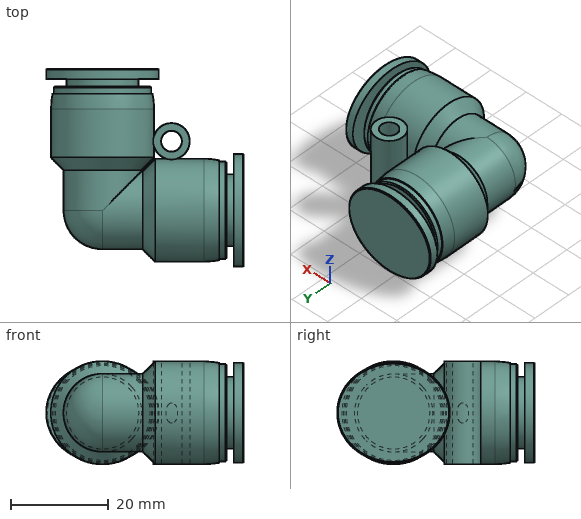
import cadquery as cq


overall_length = 40.5
collar_width = 23.1
collar_height = 20.5
port_end = overall_length - collar_width / 2

pipe_radius = 16.0 / 2
barrel_radius = 21.2 / 2
taper_end_radius = 10.25
lip_radius = 20.0 / 2
neck_radius = 14.8 / 2

cone_start = 8.22
cone_end = 10.8
taper_start = 20.78
taper_end = 23.9
lip_end = 25.4
collar_start = 26.85

lip_chamfer = 0.3
collar_chamfer = 0.2

eyelet_radius = 7.5 / 2
eyelet_hole_radius = 4.2 / 2
eyelet_offset = 14.15
eyelet_height = 2 * barrel_radius

taper_middle = (taper_start + taper_end) / 2
taper_bulge = 0.1
taper_middle_radius = (barrel_radius + taper_end_radius) / 2 + taper_bulge


def turn_to_y_port(shape):
    """Turn a shape built on the X port onto the Y port."""
    return shape.mirror(mirrorPlane=cq.Vector(1, -1, 0), basePointVector=(0, 0, 0))


def make_arm():
    """One solid arm of the elbow, revolved about the X axis."""
    return (
        cq.Workplane("XY")
        .lineTo(0, pipe_radius)
        .lineTo(cone_start, pipe_radius)
        .lineTo(cone_end, barrel_radius)
        .lineTo(taper_start, barrel_radius)
        .threePointArc((taper_middle, taper_middle_radius), (taper_end, taper_end_radius))
        .lineTo(taper_end, lip_radius)
        .lineTo(lip_end - lip_chamfer, lip_radius)
        .lineTo(lip_end, lip_radius - lip_chamfer)
        .lineTo(lip_end, 0)
        .close()
        .revolve(360, (0, 0, 0), (1, 0, 0))
    )


def make_eyelet():
    """Upright boss for the mounting hole."""
    return (
        cq.Workplane("XY", origin=(eyelet_offset, eyelet_offset, 0))
        .circle(eyelet_radius)
        .extrude(eyelet_height / 2, both=True)
    )


def make_eyelet_hole():
    """Cutter for the through hole of the eyelet."""
    return (
        cq.Workplane("XY", origin=(eyelet_offset, eyelet_offset, 0))
        .circle(eyelet_hole_radius)
        .extrude(eyelet_height / 2, both=True)
    )


def make_elbow():
    """Elbow body: two arms, a spherical corner and the eyelet."""
    arm = make_arm()
    corner = cq.Workplane("XY").sphere(pipe_radius)
    elbow = arm.union(turn_to_y_port(arm)).union(corner)
    return elbow.union(make_eyelet()).cut(make_eyelet_hole())


def make_release_sleeve():
    """Release sleeve of the X port: a round neck with an oval push collar."""
    neck = (
        cq.Workplane("YZ", origin=(lip_end, 0, 0))
        .circle(neck_radius)
        .extrude(collar_start - lip_end)
    )
    collar = (
        cq.Workplane("YZ", origin=(collar_start, 0, 0))
        .ellipse(collar_width / 2, collar_height / 2)
        .extrude(port_end - collar_start)
        .faces(">X")
        .chamfer(collar_chamfer)
    )
    return neck.union(collar)


elbow = make_elbow()
x_sleeve = make_release_sleeve()
sleeves = [x_sleeve, turn_to_y_port(x_sleeve)]

result = cq.Compound.makeCompound([elbow.val(), *[sleeve.val() for sleeve in sleeves]])